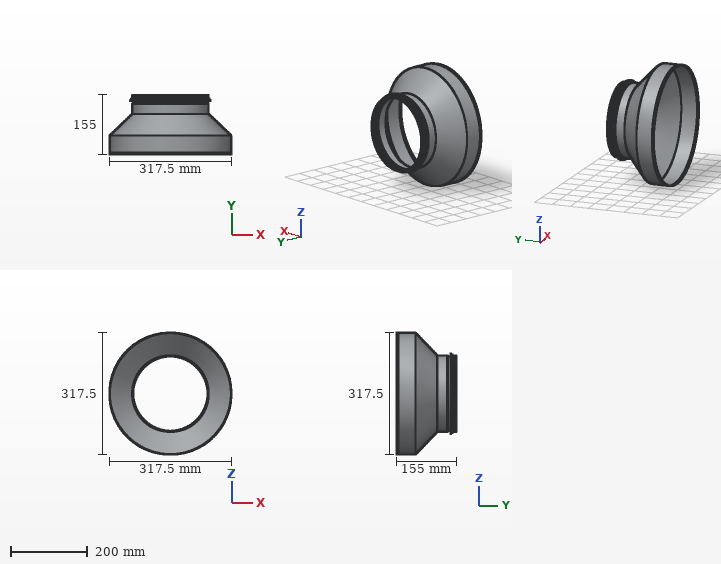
import cadquery as cq
import math

WALL = 0.5
LENGTH = 154.98
RIM_RADIUS = 317.47 / 2
SKIRT_RADIUS = 316.45 / 2
SPIGOT_RADIUS = 198.95 / 2
GROOVE_RADIUS = 194.15 / 2

RIM_LENGTH = 5.4
RIM_CHAMFER = 0.5
SHOULDER_Y = 49.3
CONE_TOP_Y = 105.7
GROOVE_TAPER_Y = 131.0
GROOVE_START_Y = 133.7
HEM_EDGE_Y = 148.7

SHOULDER_SETBACK = 2.2

HEM_BEVEL_LENGTH = 1.4
HEM_BEVEL_DEPTH = 1.1

SEAL_BORE_RADIUS = 195.35 / 2
SEAL_RADIUS = SPIGOT_RADIUS - WALL
SEAL_END_Y = LENGTH - 2.5
LIP_CHAMFER = 0.6
LARGE_LIP_RADIUS = 209.35 / 2
LARGE_LIP_Y = 139.3
LARGE_LIP_THICKNESS = 1.9
SMALL_LIP_RADIUS = 204.35 / 2
SMALL_LIP_Y = 143.6
SMALL_LIP_THICKNESS = 1.5
LIP_ROOT_RADIUS = SPIGOT_RADIUS
LIP_ROOT_LENGTH = 1.2
LIP_ROOT_TAPER = 0.5


def offset_outline(outline, distance):
    """Shift an open (radius, y) outline to its left, with mitred corners.

    An outline that runs along +Y moves toward the axis.
    """
    angles = [math.atan2(y1 - y0, r1 - r0) for (r0, y0), (r1, y1) in zip(outline, outline[1:])]
    before = angles[:1] + angles
    after = angles + angles[-1:]
    shifted = []
    for (radius, y), angle_in, angle_out in zip(outline, before, after):
        middle = (angle_in + angle_out) / 2
        miter = distance / math.cos((angle_out - angle_in) / 2)
        shifted.append((radius - miter * math.sin(middle), y + miter * math.cos(middle)))
    return shifted


def revolve_about_y(profile):
    """Turn a closed (radius, y) outline around the Y axis."""
    return cq.Workplane("XY").polyline(profile).close().revolve(360, (0, 0), (0, 1))


def shoulder_points():
    """Two bend steps that share the turn from the skirt into the cone."""
    lean = math.atan2(SKIRT_RADIUS - SPIGOT_RADIUS, CONE_TOP_Y - SHOULDER_Y)
    step = 2 * SHOULDER_SETBACK / math.tan(lean / 2) * math.sin(lean / 4)
    start_y = SHOULDER_Y - SHOULDER_SETBACK
    end_y = SHOULDER_Y + SHOULDER_SETBACK * math.cos(lean)
    return [
        (SKIRT_RADIUS, start_y),
        (SKIRT_RADIUS - step * math.sin(lean / 4), start_y + step * math.cos(lean / 4)),
        (SKIRT_RADIUS - SHOULDER_SETBACK * math.sin(lean), end_y),
    ]


def make_reducer():
    bore_radius = GROOVE_RADIUS - WALL
    bevel_y = LENGTH - HEM_BEVEL_LENGTH
    rim = [
        (RIM_RADIUS - RIM_CHAMFER, 0),
        (RIM_RADIUS, RIM_CHAMFER),
        (RIM_RADIUS, RIM_LENGTH),
        (SKIRT_RADIUS, RIM_LENGTH),
    ]
    outer = [
        (SKIRT_RADIUS, 0),
        *shoulder_points(),
        (SPIGOT_RADIUS, CONE_TOP_Y),
        (SPIGOT_RADIUS, GROOVE_TAPER_Y),
        (GROOVE_RADIUS, GROOVE_START_Y),
        (GROOVE_RADIUS, bevel_y),
    ]
    inner = offset_outline(outer, WALL)
    hem = [
        (bore_radius, GROOVE_START_Y),
        (bore_radius, bevel_y),
        (bore_radius + HEM_BEVEL_DEPTH, LENGTH),
        (SPIGOT_RADIUS - HEM_BEVEL_DEPTH, LENGTH),
        (SPIGOT_RADIUS, bevel_y),
        (SPIGOT_RADIUS, HEM_EDGE_Y),
    ]
    hem_inside = offset_outline(hem, -WALL)
    return revolve_about_y(rim + outer[1:-1] + hem_inside[1:] + hem[:0:-1] + inner[-2::-1])


def make_seal():
    large_lip_end = LARGE_LIP_Y + LARGE_LIP_THICKNESS
    small_lip_end = SMALL_LIP_Y + SMALL_LIP_THICKNESS
    root_end = small_lip_end + LIP_ROOT_LENGTH
    return revolve_about_y([
        (SEAL_BORE_RADIUS, LARGE_LIP_Y),
        (LARGE_LIP_RADIUS, LARGE_LIP_Y),
        (LARGE_LIP_RADIUS, large_lip_end - LIP_CHAMFER),
        (LARGE_LIP_RADIUS - LIP_CHAMFER, large_lip_end),
        (SEAL_RADIUS, large_lip_end),
        (SEAL_RADIUS, SMALL_LIP_Y),
        (SMALL_LIP_RADIUS - LIP_CHAMFER, SMALL_LIP_Y),
        (SMALL_LIP_RADIUS, SMALL_LIP_Y + LIP_CHAMFER),
        (SMALL_LIP_RADIUS, small_lip_end - LIP_CHAMFER),
        (SMALL_LIP_RADIUS - LIP_CHAMFER, small_lip_end),
        (LIP_ROOT_RADIUS, small_lip_end),
        (LIP_ROOT_RADIUS, root_end),
        (SEAL_RADIUS, root_end + LIP_ROOT_TAPER),
        (SEAL_RADIUS, SEAL_END_Y),
        (SEAL_BORE_RADIUS, SEAL_END_Y),
    ])


reducer = make_reducer()
seal = make_seal()
result = cq.Compound.makeCompound([reducer.val(), seal.val()])